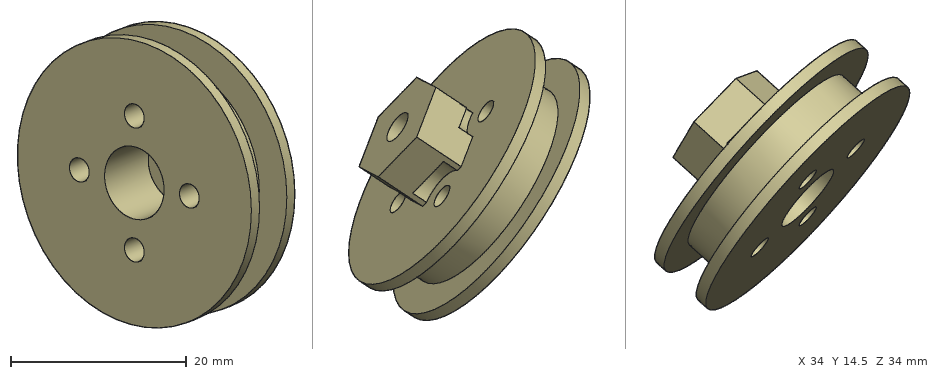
import cadquery as cq

flange_diameter = 34.0
flange_thickness = 1.5
hub_diameter = 26.0
total_length = 14.5
body_length = 8.0

hex_corner_diameter = 14.0

shaft_hole_diameter = 3.85
front_bore_diameter = 8.65
front_bore_depth = body_length

screw_count = 4
screw_circle_radius = 8.0
screw_hole_diameter = 2.85
screw_head_diameter = 6.8
screw_head_height = 2.0


def plane_at(y):
    """Plane across the axis whose normal points toward +Y."""
    return cq.Workplane(cq.Plane(origin=(0, y, 0), xDir=(1, 0, 0), normal=(0, 1, 0)))


def cylinder(diameter, start, length):
    return plane_at(start).circle(diameter / 2).extrude(length)


def screw_cylinders(diameter, start, length):
    """One cylinder at each screw position."""
    positions = plane_at(start).polarArray(screw_circle_radius, 0, 360, screw_count)
    return positions.circle(diameter / 2).extrude(length)


def make_spool():
    hub = cylinder(hub_diameter, 0, body_length)
    front_flange = cylinder(flange_diameter, 0, flange_thickness)
    rear_flange = cylinder(flange_diameter, body_length - flange_thickness, flange_thickness)
    return hub.union(front_flange).union(rear_flange)


def make_hex_boss():
    """Hexagon with two corners on the X axis, relieved for the screw heads."""
    boss = plane_at(body_length).polygon(6, hex_corner_diameter).extrude(total_length - body_length)
    return boss.cut(screw_cylinders(screw_head_diameter, body_length, screw_head_height))


result = make_spool().union(make_hex_boss())
result = result.cut(cylinder(shaft_hole_diameter, 0, total_length))
result = result.cut(cylinder(front_bore_diameter, 0, front_bore_depth))
result = result.cut(screw_cylinders(screw_hole_diameter, 0, body_length))